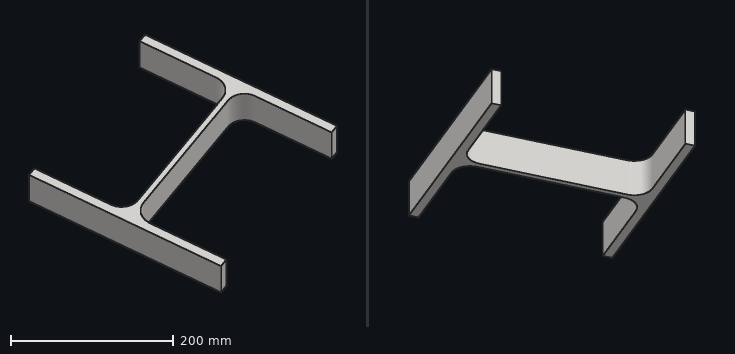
import cadquery as cq

flange_width = 280.0
section_depth = 270.0
beam_length = 50.0
flange_thickness = 13.0
web_thickness = 8.0
root_radius = 24.0

flange_offset = (section_depth - flange_thickness) / 2

web = cq.Workplane("XY").box(web_thickness, section_depth, beam_length)
flanges = (
    cq.Workplane("XY")
    .pushPoints([(0, -flange_offset), (0, flange_offset)])
    .box(flange_width, flange_thickness, beam_length)
)
beam = web.union(flanges)

corner_zone = cq.selectors.BoxSelector(
    (-web_thickness, -flange_offset, -beam_length),
    (web_thickness, flange_offset, beam_length),
)
result = beam.edges("|Z").edges(corner_zone).fillet(root_radius)